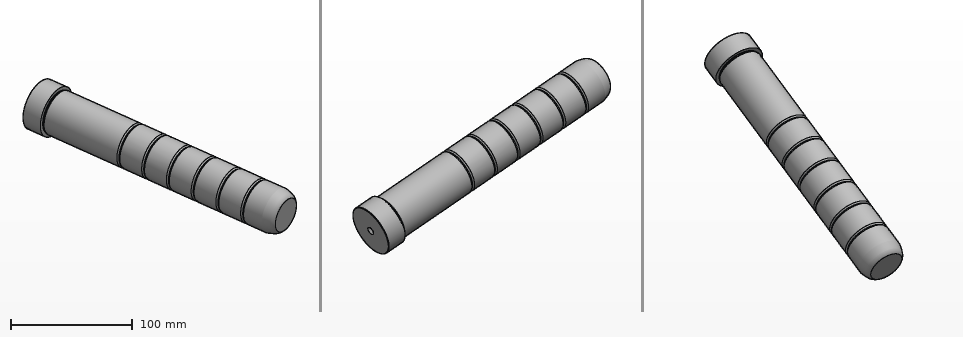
import cadquery as cq
import math

total_length = 250.0
head_radius = 45.0 / 2
head_length = 18.0
head_chamfer = 0.5
pin_radius = 40.0 / 2

relief_flat = 1.0
relief_width = 2.0
relief_depth = 0.8

groove_count = 6
groove_pitch = 25.0
first_groove_x = 95.0
groove_width = 3.0
groove_depth = 0.88

nose_length = 10.0
rounding_length = 3.0
nose_drop = 2.2
nose_bulge = 0.2
end_drop = 5.0

countersink_radius = 7.0 / 2
bore_radius = 4.0 / 2
countersink_angle = 60.0
bore_depth = 8.0
drill_point_angle = 120.0


def revolve_about_axis(profile):
    return profile.close().revolve(360, (0, 0, 0), (1, 0, 0))


def make_pin():
    relief_radius = pin_radius - relief_depth
    nose_start = total_length - nose_length
    rounding_start = total_length - rounding_length
    shoulder_radius = pin_radius - nose_drop

    return revolve_about_axis(
        cq.Workplane("XY")
        .lineTo(0, head_radius - head_chamfer)
        .lineTo(head_chamfer, head_radius)
        .lineTo(head_length, head_radius)
        .lineTo(head_length, relief_radius)
        .lineTo(head_length + relief_flat, relief_radius)
        .lineTo(head_length + relief_width, pin_radius)
        .lineTo(nose_start, pin_radius)
        .sagittaArc((rounding_start, shoulder_radius), nose_bulge)
        .tangentArcPoint((total_length, pin_radius - end_drop), relative=False)
        .lineTo(total_length, 0)
    )


def make_oil_groove(center_x):
    outer_radius = pin_radius + groove_depth
    return revolve_about_axis(
        cq.Workplane("XY")
        .moveTo(center_x, pin_radius - groove_depth)
        .lineTo(center_x + groove_width, outer_radius)
        .lineTo(center_x - groove_width, outer_radius)
    )


def make_centre_hole():
    countersink_depth = (countersink_radius - bore_radius) / math.tan(math.radians(countersink_angle / 2))
    point_length = bore_radius / math.tan(math.radians(drill_point_angle / 2))
    return revolve_about_axis(
        cq.Workplane("XY")
        .lineTo(0, countersink_radius)
        .lineTo(countersink_depth, bore_radius)
        .lineTo(bore_depth, bore_radius)
        .lineTo(bore_depth + point_length, 0)
    )


result = make_pin()
for index in range(groove_count):
    result = result.cut(make_oil_groove(first_groove_x + index * groove_pitch))
result = result.cut(make_centre_hole())